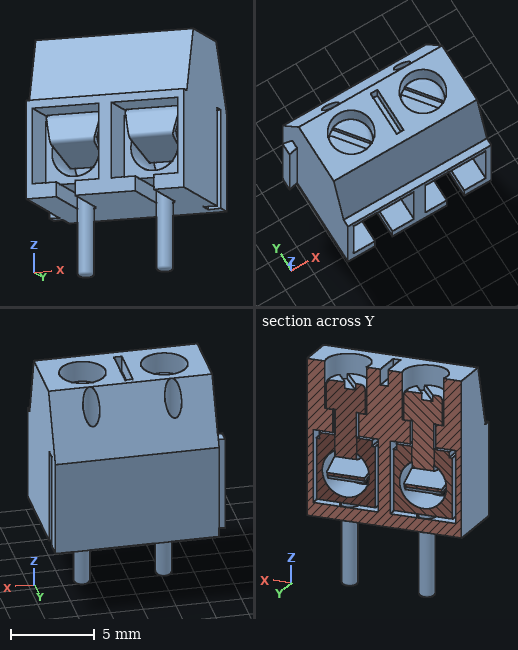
import cadquery as cq
import math


pitch = 5.0
pole_count = 2
pole_xs = [(i - (pole_count - 1) / 2) * pitch for i in range(pole_count)]

body_length = pole_count * pitch
body_depth = 7.5
body_height = 10.0
shoulder_height = 6.0
front_ledge = 0.5
top_front_y = 1.63
top_back_y = 5.65

cage_width = 3.82
cage_depth = 4.04
cage_front_y = 1.76
cage_bottom_z = 1.12
cage_top_z = 5.02
cage_back_y = cage_front_y + cage_depth
cage_middle_y = cage_front_y + cage_depth / 2
bore_radius = 1.5
bore_z = 3.05

cavity_width = 4.2
cavity_bottom_z = 0.9
cavity_top_z = 5.5
cavity_back_gap = 0.1
cavity_back_y = cage_back_y + cavity_back_gap

pin_radius = 0.5
pin_tip_z = -4.2
pin_tip_rounding = 0.2
pin_y = 3.54
pin_slot_width = 1.2

guard_thickness = 0.38
guard_top_z = cage_top_z + guard_thickness
guard_tilt = math.radians(11)
guard_tip_drop = math.radians(72)
guard_top_bend = 0.48
guard_low_bend = 0.28
guard_top_bend_y = 1.83
guard_front_leg = 1.26
guard_tip_z = 2.55
guard_half_width = 1.73
guard_tip_half_width = 1.16
guard_taper_start_z = 5.15

shank_radius = 0.8
shank_end_z = 4.0
head_radius = 1.32
head_bottom_z = 7.0
head_top_z = 8.85
head_rounding = 0.31
driver_slot_width = 0.53
driver_slot_depth = 0.4
driver_slot_angle = -52.5

access_radius = 1.4
access_y = body_depth / 2
passage_clearance = 0.1
passage_radius = shank_radius + passage_clearance

probe_radius = 0.5
probe_y = top_back_y + probe_radius
probe_floor_z = cage_top_z

roof_slot_width = 0.48
roof_slot_length = 3.0
roof_slot_depth = 1.0

rail_y = 6.12
rail_reach = 0.6
rail_neck_width = 0.55
rail_outer_width = 0.8
groove_depth = 0.83
groove_clearance = 0.05


def box(x_middle, width, y_start, y_end, z_start, z_end):
    """Block centred on x_middle between the given Y and Z limits."""
    return (
        cq.Workplane("XY", origin=(x_middle, (y_start + y_end) / 2, z_start))
        .box(width, y_end - y_start, z_end - z_start, centered=(True, True, False))
    )


def post(x, y, radius, z_start, z_end):
    """Vertical cylinder."""
    return cq.Workplane("XY", origin=(x, y, z_start)).circle(radius).extrude(z_end - z_start)


def dovetail(neck_x, reach, neck_width, outer_width):
    """Upright dovetail that widens from neck_x to neck_x - reach, up to the shoulder."""
    return (
        cq.Workplane("XY")
        .polyline([
            (neck_x, rail_y - neck_width / 2),
            (neck_x, rail_y + neck_width / 2),
            (neck_x - reach, rail_y + outer_width / 2),
            (neck_x - reach, rail_y - outer_width / 2),
        ])
        .close()
        .extrude(shoulder_height)
    )


def pole_openings(x):
    """Everything removed from the housing for one pole."""
    cavity = box(x, cavity_width, 0, cavity_back_y, cavity_bottom_z, cavity_top_z)
    pin_slot = box(x, pin_slot_width, 0, pin_y, 0, cavity_bottom_z)
    pin_slot_end = post(x, pin_y, pin_slot_width / 2, 0, cavity_bottom_z)
    passage = post(x, cage_middle_y, passage_radius, cavity_top_z, head_bottom_z)
    access_hole = post(x, access_y, access_radius, head_bottom_z, body_height)
    probe_hole = post(x, probe_y, probe_radius, probe_floor_z, body_height)
    return [cavity, pin_slot, pin_slot_end, passage, access_hole, probe_hole]


def make_housing():
    """Housing with its rail, groove, roof slot and the openings of every pole."""
    housing = (
        cq.Workplane("YZ", origin=(-body_length / 2, 0, 0))
        .polyline([
            (0, 0),
            (body_depth, 0),
            (body_depth, shoulder_height),
            (top_back_y, body_height),
            (top_front_y, body_height),
            (front_ledge, shoulder_height),
            (0, shoulder_height),
        ])
        .close()
        .extrude(body_length)
    )
    housing = housing.union(dovetail(-body_length / 2, rail_reach, rail_neck_width, rail_outer_width))
    housing = housing.cut(
        dovetail(
            body_length / 2,
            groove_depth,
            rail_neck_width + 2 * groove_clearance,
            rail_outer_width + 2 * groove_clearance,
        )
    )
    housing = housing.cut(
        box(
            0,
            roof_slot_width,
            access_y - roof_slot_length / 2,
            access_y + roof_slot_length / 2,
            body_height - roof_slot_depth,
            body_height,
        )
    )
    for x in pole_xs:
        for opening in pole_openings(x):
            housing = housing.cut(opening)
    return housing


def make_wire_guard(x):
    """Bent strip: flat on the cage, leaning front leg, tip folded back into the bore."""
    def arc_point(centre, radius, angle):
        return (centre[0] - radius * math.cos(angle), centre[1] + radius * math.sin(angle))

    top_inner = guard_top_bend - guard_thickness
    top_centre = (guard_top_bend_y, guard_top_z - guard_top_bend)
    top_middle_angle = (math.pi / 2 + guard_tilt) / 2
    low_middle_angle = (guard_tilt - guard_tip_drop) / 2

    leg_start = arc_point(top_centre, guard_top_bend, guard_tilt)
    leg_end = (
        leg_start[0] - guard_front_leg * math.sin(guard_tilt),
        leg_start[1] - guard_front_leg * math.cos(guard_tilt),
    )
    low_centre = arc_point(leg_end, -guard_low_bend, guard_tilt)
    low_half_angle = (guard_tilt + guard_tip_drop) / 2
    low_inner_corner = arc_point(
        low_centre,
        (guard_low_bend - guard_thickness) / math.cos(low_half_angle),
        low_middle_angle,
    )
    tip_start = arc_point(low_centre, guard_low_bend, -guard_tip_drop)
    tip_length = (tip_start[1] - guard_tip_z) / math.cos(guard_tip_drop)
    tip_end = (tip_start[0] + tip_length * math.sin(guard_tip_drop), guard_tip_z)

    strip = (
        cq.Workplane("YZ", origin=(x - guard_half_width, 0, 0))
        .moveTo(cage_back_y, guard_top_z)
        .lineTo(top_centre[0], guard_top_z)
        .threePointArc(arc_point(top_centre, guard_top_bend, top_middle_angle), leg_start)
        .lineTo(*leg_end)
        .threePointArc(arc_point(low_centre, guard_low_bend, low_middle_angle), tip_start)
        .lineTo(*tip_end)
        .lineTo(*arc_point(tip_end, -guard_thickness, -guard_tip_drop))
        .lineTo(*low_inner_corner)
        .lineTo(*arc_point(top_centre, top_inner, guard_tilt))
        .threePointArc(
            arc_point(top_centre, top_inner, top_middle_angle),
            (top_centre[0], cage_top_z),
        )
        .lineTo(cage_back_y, cage_top_z)
        .close()
        .extrude(2 * guard_half_width)
    )
    tapered_outline = (
        cq.Workplane("XZ", origin=(x, 0, 0))
        .polyline([
            (-guard_half_width, guard_top_z),
            (guard_half_width, guard_top_z),
            (guard_half_width, guard_taper_start_z),
            (guard_tip_half_width, guard_tip_z),
            (-guard_tip_half_width, guard_tip_z),
            (-guard_half_width, guard_taper_start_z),
        ])
        .close()
        .extrude(-body_depth)
    )
    return strip.intersect(tapered_outline)


def make_terminal(x):
    """Clamp cage with its solder pin and wire guard, drilled for the screw."""
    cage = box(x, cage_width, cage_front_y, cage_back_y, cage_bottom_z, cage_top_z)
    bore = (
        cq.Workplane("XZ", origin=(x, cage_front_y, bore_z))
        .circle(bore_radius)
        .extrude(-cage_depth)
    )
    pin = post(x, pin_y, pin_radius, pin_tip_z, cage_bottom_z)
    pin = pin.faces("<Z").edges().fillet(pin_tip_rounding)
    screw_hole = post(x, cage_middle_y, shank_radius, shank_end_z, guard_top_z)
    return cage.cut(bore).union(pin).union(make_wire_guard(x)).cut(screw_hole)


def make_screw(x):
    """Slotted screw with a rounded head rim."""
    head = post(x, cage_middle_y, head_radius, head_bottom_z, head_top_z)
    head = head.faces(">Z").edges().fillet(head_rounding)
    driver_slot = (
        cq.Workplane("XY", origin=(x, cage_middle_y, head_top_z - driver_slot_depth))
        .transformed(rotate=(0, 0, driver_slot_angle))
        .box(2 * access_radius, driver_slot_width, driver_slot_depth, centered=(True, True, False))
    )
    shank = post(x, cage_middle_y, shank_radius, shank_end_z, head_bottom_z)
    return head.cut(driver_slot).union(shank)


housing = make_housing()
terminals = [make_terminal(x) for x in pole_xs]
screws = [make_screw(x) for x in pole_xs]

result = cq.Compound.makeCompound([
    housing.val(),
    *[terminal.val() for terminal in terminals],
    *[screw.val() for screw in screws],
])